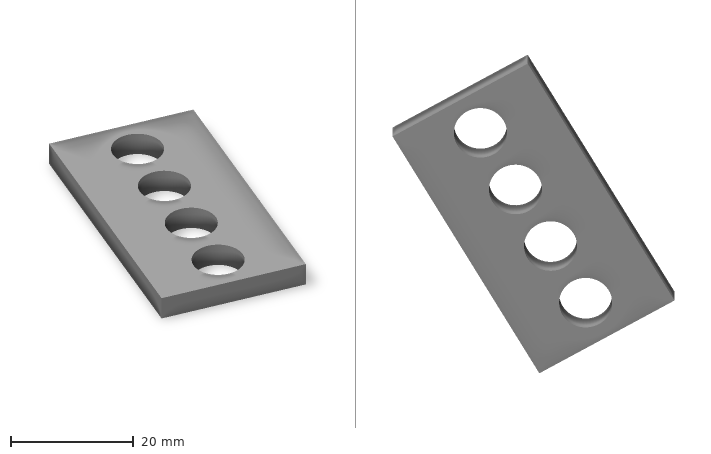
import cadquery as cq

length = 47.75
width = 25.4
thickness = 4.0

hole_diameter = 8.65
hole_count = 4
hole_pitch = 11.4
row_offset = 0.15

plate = cq.Workplane("XY").box(length, width, thickness)

result = (
    plate.faces(">Z")
    .workplane()
    .center(row_offset, 0)
    .rarray(hole_pitch, 0.5, hole_count, 1)
    .hole(hole_diameter)
)